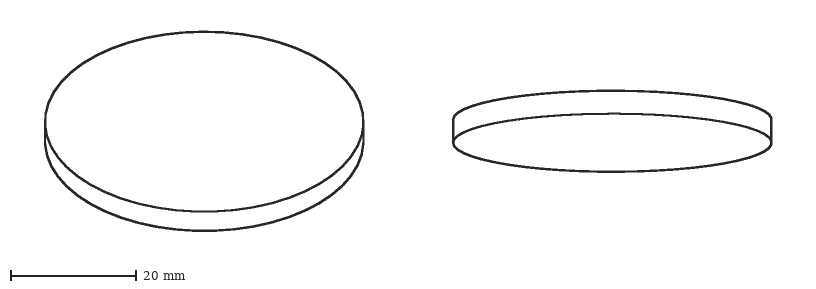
import cadquery as cq
import math

DIAMETER = 50.8
CENTER_THICKNESS = 4.86
EDGE_THICKNESS = 3.74

lens_radius = DIAMETER / 2
half_center = CENTER_THICKNESS / 2
half_edge = EDGE_THICKNESS / 2
sagitta = half_center - half_edge
surface_radius = (lens_radius**2 + sagitta**2) / (2 * sagitta)


def upper_surface_point(distance_from_axis):
    """Profile point on the upper spherical surface."""
    sphere_center = half_center - surface_radius
    rise = math.sqrt(surface_radius**2 - distance_from_axis**2)
    return (distance_from_axis, sphere_center + rise)


def mirrored(point):
    """Profile point on the lower surface opposite an upper one."""
    return (point[0], -point[1])


def make_lens():
    """Revolve the half profile: two spherical arcs joined by a cylindrical edge."""
    apex = (0, half_center)
    mid_arc = upper_surface_point(lens_radius / 2)
    rim = (lens_radius, half_edge)
    profile = (
        cq.Workplane("XZ")
        .moveTo(*apex)
        .threePointArc(mid_arc, rim)
        .lineTo(*mirrored(rim))
        .threePointArc(mirrored(mid_arc), mirrored(apex))
        .close()
    )
    return profile.revolve(360, (0, 0, 0), (0, 1, 0))


result = make_lens()